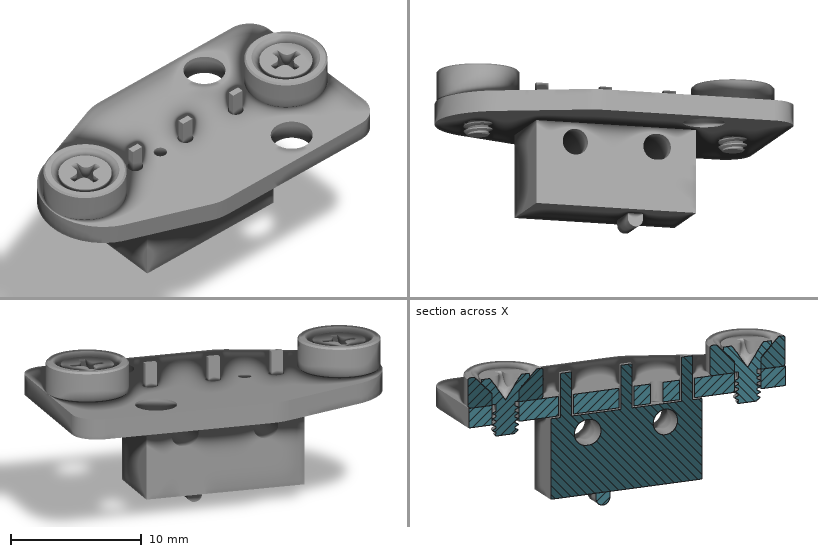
import cadquery as cq
import math


plate_thickness = 1.6
plate_width = 15.0
plate_back_y = 13.25
back_corner_radius = 2.0
taper_corner_y = -2.95
taper_corner_radius = 3.75
nose_radius = 5.08
nose_centre_y = -8.32
nose_start_y = -9.85
mount_hole_diameter = 3.2
mount_hole_x = 5.08
mount_hole_y = 6.35
terminal_hole_diameter = 1.2
pilot_hole_diameter = 1.02
pilot_hole_y = -2.55

magnet_diameter = 6.36
magnet_height = 2.43
magnet_chamfer = 0.13
magnet_offset_y = 10.15
countersink_diameter = 5.25
countersink_angle = 90

head_diameter = 4.06
head_drop = 0.27
thread_diameter = 2.2
core_diameter = 1.6
thread_pitch = 0.45
thread_crest = 0.08
thread_root = 0.4
thread_phase = 60.0
thread_root_overlap = 0.05
tip_reach = 0.94
cross_length = 2.67
cross_width = 0.53
cross_corner_radius = 0.53
cross_depth = 1.87

terminal_pitch = 5.08
terminal_width = 0.5
terminal_length = 0.94
terminal_rise = 1.82
switch_gap = 0.1
switch_width = 5.78
switch_length = 12.75
switch_height = 6.47
case_hole_diameter = 2.0
case_slot_length = 2.2
case_hole_y = 3.25
case_hole_drop = 1.5

plunger_width = 2.83
plunger_thickness = 1.2
plunger_height = 1.02
plunger_y = 1.98

plate_half_width = plate_width / 2
terminal_ys = [-terminal_pitch, 0, terminal_pitch]
magnet_ys = [-magnet_offset_y, magnet_offset_y]
magnet_top_z = plate_thickness + magnet_height
head_top_z = magnet_top_z - head_drop
head_cone_top_z = magnet_top_z - (countersink_diameter - head_diameter) / 2
head_cone_bottom_z = head_cone_top_z - (head_diameter - thread_diameter) / 2
switch_top_z = -switch_gap
switch_bottom_z = switch_top_z - switch_height


def make_plate():
    """Plate with two rounded back corners, tapering to a round nose."""
    nose_start_x = math.sqrt(nose_radius**2 - (nose_centre_y - nose_start_y) ** 2)
    plate = (
        cq.Workplane("XY")
        .moveTo(-plate_half_width, plate_back_y)
        .lineTo(plate_half_width, plate_back_y)
        .lineTo(plate_half_width, taper_corner_y)
        .lineTo(nose_start_x, nose_start_y)
        .threePointArc((0, nose_centre_y - nose_radius), (-nose_start_x, nose_start_y))
        .lineTo(-plate_half_width, taper_corner_y)
        .close()
        .extrude(plate_thickness)
    )
    plate = plate.edges("|Z and >Y").fillet(back_corner_radius)
    for side in ("<X", ">X"):
        plate = plate.faces(side).edges("|Z and <Y").fillet(taper_corner_radius)

    mount_holes = [(-mount_hole_x, mount_hole_y), (mount_hole_x, mount_hole_y)]
    hole_groups = [
        (mount_holes, mount_hole_diameter),
        ([(0, y) for y in terminal_ys], terminal_hole_diameter),
        ([(0, pilot_hole_y)], pilot_hole_diameter),
        ([(0, y) for y in magnet_ys], thread_diameter),
    ]
    for points, diameter in hole_groups:
        holes = cq.Workplane("XY").pushPoints(points).circle(diameter / 2).extrude(plate_thickness)
        plate = plate.cut(holes)
    return plate


def make_magnet(y):
    """Disc magnet with chamfered rims and a countersunk hole."""
    return (
        cq.Workplane("XY", origin=(0, y, plate_thickness))
        .circle(magnet_diameter / 2)
        .extrude(magnet_height)
        .edges()
        .chamfer(magnet_chamfer)
        .faces(">Z")
        .workplane(origin=(0, y, 0))
        .cskHole(thread_diameter, countersink_diameter, countersink_angle)
    )


def make_cross_recess():
    """Cross with rounded inner corners, narrowing to a point below the head."""
    cross = (
        cq.Workplane("XY", origin=(0, 0, head_top_z - cross_depth))
        .rect(cross_length, cross_width)
        .extrude(cross_depth)
        .union(
            cq.Workplane("XY", origin=(0, 0, head_top_z - cross_depth))
            .rect(cross_width, cross_length)
            .extrude(cross_depth)
        )
    )
    corner_box = cq.selectors.BoxSelector(
        (-cross_width, -cross_width, 0),
        (cross_width, cross_width, magnet_top_z),
    )
    cross = cross.edges("|Z").edges(corner_box).fillet(cross_corner_radius)
    cone = (
        cq.Workplane("XZ")
        .moveTo(0, head_top_z - cross_depth)
        .lineTo(cross_length / 2, head_top_z)
        .lineTo(0, head_top_z)
        .close()
        .revolve(360, (0, 0), (0, 1))
    )
    return cross.intersect(cone)


def make_thread():
    """Right-hand helical ridge around the core, starting below the tip and ending inside the plate."""
    start_z = -tip_reach - thread_pitch
    root_radius = core_diameter / 2 - thread_root_overlap
    crest_radius = thread_diameter / 2
    root_half = thread_root / 2
    helix = cq.Wire.makeHelix(thread_pitch, plate_thickness - thread_pitch - start_z, core_diameter / 2)
    ridge = (
        cq.Workplane("XZ")
        .polyline([
            (root_radius, -root_half),
            (crest_radius, -thread_crest / 2),
            (crest_radius, thread_crest / 2),
            (root_radius, root_half),
        ])
        .close()
        .sweep(cq.Workplane(obj=helix), isFrenet=True)
    )
    return ridge.rotate((0, 0, 0), (0, 0, 1), thread_phase).translate((0, 0, start_z))


def make_screw():
    """Flat-head screw on the Z axis."""
    core_radius = core_diameter / 2
    thread_radius = thread_diameter / 2
    blank = (
        cq.Workplane("XZ")
        .moveTo(0, -tip_reach)
        .lineTo(core_radius, -tip_reach)
        .lineTo(core_radius, plate_thickness)
        .lineTo(thread_radius, plate_thickness)
        .lineTo(thread_radius, head_cone_bottom_z)
        .lineTo(head_diameter / 2, head_cone_top_z)
        .lineTo(head_diameter / 2, head_top_z)
        .lineTo(0, head_top_z)
        .close()
        .revolve(360, (0, 0), (0, 1))
    )
    tip_trim = (
        cq.Workplane("XY", origin=(0, 0, -tip_reach))
        .circle(head_diameter / 2)
        .extrude(tip_reach + plate_thickness)
        .faces("<Z")
        .chamfer(head_diameter / 2 - core_radius)
    )
    return blank.union(make_thread().intersect(tip_trim)).cut(make_cross_recess())


def make_switch():
    """Switch case with its three terminals, one round cross hole and one slotted cross hole."""
    case = cq.Workplane("XY", origin=(0, 0, switch_bottom_z + switch_height / 2)).box(
        switch_width, switch_length, switch_height
    )
    hole_z = switch_top_z - case_hole_drop
    half_width = switch_width / 2
    round_hole = (
        cq.Workplane("YZ", origin=(0, -case_hole_y, hole_z))
        .circle(case_hole_diameter / 2)
        .extrude(half_width, both=True)
    )
    slot = (
        cq.Workplane("YZ", origin=(0, case_hole_y, hole_z))
        .slot2D(case_slot_length, case_hole_diameter)
        .extrude(half_width, both=True)
    )
    case = case.cut(round_hole).cut(slot)
    terminals = (
        cq.Workplane("XY", origin=(0, 0, switch_top_z))
        .pushPoints([(0, y) for y in terminal_ys])
        .rect(terminal_width, terminal_length)
        .extrude(switch_gap + plate_thickness + terminal_rise)
    )
    return case.union(terminals)


def make_plunger():
    """Push bar under the case, rounded along its lower edge."""
    radius = plunger_thickness / 2
    bottom = switch_bottom_z - plunger_height
    return (
        cq.Workplane("YZ", origin=(0, plunger_y, 0))
        .moveTo(-radius, switch_bottom_z)
        .lineTo(-radius, bottom + radius)
        .threePointArc((0, bottom), (radius, bottom + radius))
        .lineTo(radius, switch_bottom_z)
        .close()
        .extrude(plunger_width / 2, both=True)
    )


plate = make_plate()
magnets = [make_magnet(y) for y in magnet_ys]
screw = make_screw()
screws = [screw.translate((0, y, 0)) for y in magnet_ys]
switch = make_switch()
plunger = make_plunger()

result = cq.Compound.makeCompound([
    plate.val(),
    *[magnet.val() for magnet in magnets],
    *[screw.val() for screw in screws],
    switch.val(),
    plunger.val(),
])